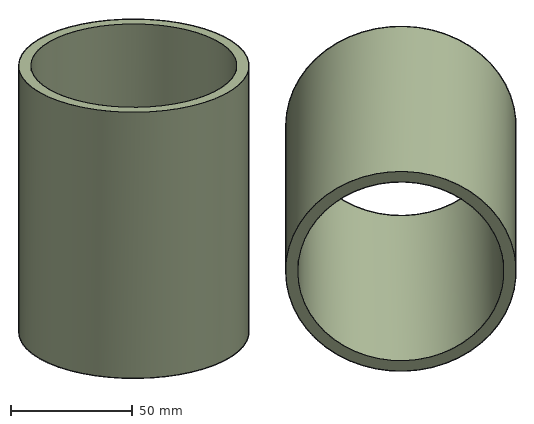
import cadquery as cq

length = 120.0
outer_diameter = 95.0
wall_thickness = 5.0
inner_diameter = outer_diameter - 2 * wall_thickness

result = (
    cq.Workplane("XY")
    .circle(outer_diameter / 2)
    .circle(inner_diameter / 2)
    .extrude(length)
)